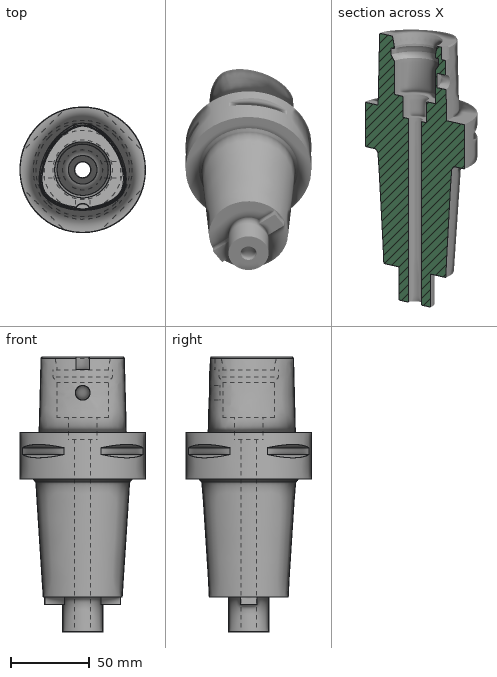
import cadquery as cq
import math

total_height = 175.0
shank_length = 48.1
flange_height = 29.8
relief_height = 2.0
pilot_length = 22.0
flange_bottom = total_height - shank_length - flange_height
flange_top = flange_bottom + flange_height
relief_bottom = flange_bottom - relief_height

flange_radius = 80.0 / 2
relief_top_radius = 31.5
cone_top_radius = 59.7 / 2
cone_bottom_radius = 50.2 / 2
pilot_radius = 12.8

shank_radius = 55.5 / 2
shank_eccentricity = 2.0
shank_taper = 1 / 40
edge_chamfer_height = 1.0
edge_chamfer_width = 0.7
outline_points = 48

mouth_radius = 17.8
mouth_depth = 7.0
land_radius = 16.3
groove_top_depth = 8.4
groove_radius = 18.9
groove_bottom_depth = 13.0
groove_cone_depth = 16.5
bore_depth = 38.5
step_radius = 9.1
step_depth = 52.5
through_radius = 5.0

index_radius = 9.3 / 2
notch_axis_y = -26.0
notch_depth = 8.2
side_hole_depth_from_top = 23.0
side_hole_end_y = -18.2

slot_count = 4
slot_center_z = total_height - 60.0
slot_floor_distance = 35.4
slot_floor_height = 4.2
slot_flank_angle = 25.0

key_span = 48.3
key_width = 10.3
key_height = 4.7


def revolve_profile(points):
    """Solid of revolution about Z from (radius, height) points."""
    return cq.Workplane("XZ").polyline(points).close().revolve(360, (0, 0), (0, 1))


def make_body():
    return revolve_profile([
        (0, 0),
        (pilot_radius, 0),
        (pilot_radius, pilot_length),
        (cone_bottom_radius, pilot_length),
        (cone_top_radius, relief_bottom),
        (relief_top_radius, flange_bottom),
        (flange_radius, flange_bottom),
        (flange_radius, flange_top),
        (0, flange_top),
    ])


def lobed_wire(mean_radius, height):
    """Constant-width three-lobed outline with one lobe pointing to +Y."""
    points = []
    for i in range(outline_points):
        angle = 2 * math.pi * i / outline_points
        along = mean_radius + shank_eccentricity * math.cos(3 * angle)
        across = 3 * shank_eccentricity * math.sin(3 * angle)
        x = across * math.cos(angle) - along * math.sin(angle)
        y = along * math.cos(angle) + across * math.sin(angle)
        points.append(cq.Vector(x, y, height))
    edge = cq.Edge.makeSpline(points, periodic=True)
    return cq.Wire.assembleEdges([edge])


def make_shank():
    chamfer_start = total_height - edge_chamfer_height
    start_radius = shank_radius - shank_taper * (chamfer_start - flange_top)
    base = lobed_wire(shank_radius, flange_top)
    rim = lobed_wire(start_radius, chamfer_start)
    top = lobed_wire(start_radius - edge_chamfer_width, total_height)
    taper = cq.Solid.makeLoft([base, rim], True)
    chamfer = cq.Solid.makeLoft([rim, top], True)
    return cq.Workplane(taper).union(cq.Workplane(chamfer))


def make_bore():
    steps = [
        (0, 0),
        (mouth_radius, 0),
        (land_radius, mouth_depth),
        (land_radius, groove_top_depth),
        (groove_radius, groove_top_depth),
        (groove_radius, groove_bottom_depth),
        (land_radius, groove_cone_depth),
        (land_radius, bore_depth),
        (step_radius, bore_depth),
        (step_radius, step_depth),
        (through_radius, step_depth),
        (through_radius, total_height),
        (0, total_height),
    ]
    return revolve_profile([(radius, total_height - depth) for radius, depth in steps])


def make_notch():
    return (
        cq.Workplane("XY", origin=(0, notch_axis_y, total_height - notch_depth))
        .circle(index_radius)
        .extrude(notch_depth)
    )


def make_side_hole():
    return (
        cq.Workplane("XZ", origin=(0, side_hole_end_y, total_height - side_hole_depth_from_top))
        .circle(index_radius)
        .extrude(flange_radius + side_hole_end_y)
    )


def make_slot(angle):
    """Straight slot with sloping flanks, cut tangentially into the flange."""
    depth = flange_radius - slot_floor_distance
    floor_half = slot_floor_height / 2
    mouth_half = floor_half + depth * math.tan(math.radians(slot_flank_angle))
    half_length = math.sqrt(flange_radius**2 - slot_floor_distance**2)
    return (
        cq.Workplane("XZ")
        .polyline([
            (slot_floor_distance, slot_center_z - floor_half),
            (flange_radius, slot_center_z - mouth_half),
            (flange_radius, slot_center_z + mouth_half),
            (slot_floor_distance, slot_center_z + floor_half),
        ])
        .close()
        .extrude(half_length, both=True)
        .rotate((0, 0, 0), (0, 0, 1), angle)
    )


def make_keys():
    """One bar across the pilot; its two ends stand out as the drive keys."""
    return (
        cq.Workplane("XY", origin=(0, 0, pilot_length - key_height))
        .rect(key_span, key_width)
        .extrude(key_height)
    )


result = make_body().union(make_shank()).union(make_keys())
result = result.cut(make_bore()).cut(make_notch()).cut(make_side_hole())
for i in range(slot_count):
    result = result.cut(make_slot(45 + i * 360 / slot_count))